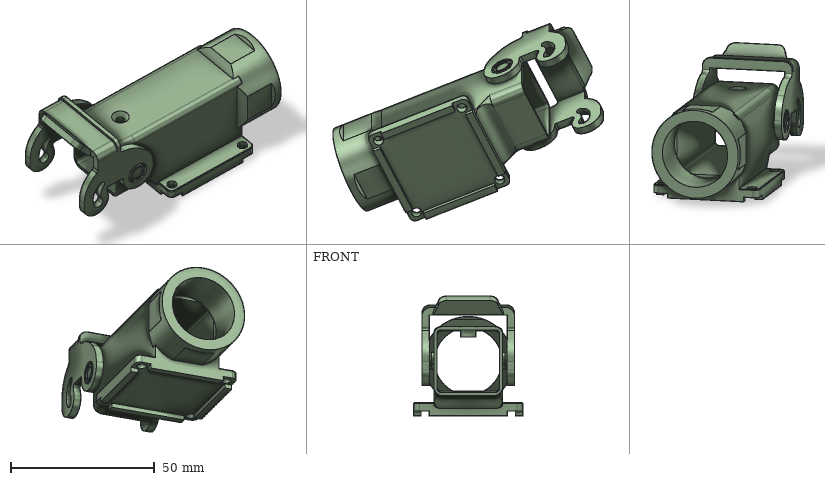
import cadquery as cq
import math

AXIS_Z = 19.0

BODY_WIDTH = 24.0
BODY_REAR_Y = 19.0
BODY_FRONT_Y = -37.0
BODY_TOP_FILLET = 2.3
BODY_BOTTOM_FILLET = 3.2
NOSE_START_Y = -29.2
NOSE_TOP_FILLET = 2.9
SNOUT_REAR_Y = -24.8
HEEL_SAGITTA = 1.0
HEEL_CORNER_HEIGHT = 1.0
HEEL_Z = 2.6

COLLAR_RADIUS = 15.55
COLLAR_REAR_Y = 33.6
COLLAR_BORE_RADIUS = 11.7
RIM_FRONT_Y = 31.0
FLAT_HALF_WIDTH = 14.55
FLAT_FRONT_Y = 19.2

CAVITY_WIDTH = 21.7
CAVITY_END_WIDTH = 21.6
CAVITY_END_HEIGHT = 20.9
CAVITY_REAR_Y = 17.0
CAVITY_FILLET = 1.3

PLATE_SIZE = 38.0
PLATE_TOP_Z = 4.55
PLATE_CORNER_RADIUS = 2.0
PLATE_EDGE_CHAMFER = 0.3
FOOT_HEIGHT = 1.6
FOOT_THICKNESS = 2.6
FOOT_LENGTH = 27.2
MOUNT_HOLE_OFFSET = 15.9
MOUNT_HOLE_DIAMETER = 3.5

SCREW_Y = -26.0
SCREW_HOLE_DIAMETER = 3.1
SCREW_SINK_DIAMETER = 6.1
SCREW_SINK_ANGLE = 90
SCREW_BOSS_DIAMETER = 5.3
SCREW_BOSS_BOTTOM_Z = 27.4

PIVOT_Y = -31.4
PIVOT_Z = 19.1
PIVOT_BASE_DIAMETER = 6.2
PIVOT_NECK_DIAMETER = 5.6
PIVOT_GROOVE_OUTER = 7.95
PIVOT_GROOVE_INNER = 6.3
PIVOT_GROOVE_DEPTH = 0.8
PIVOT_DIMPLE_DIAMETER = 4.9
PIVOT_DIMPLE_DEPTH = 0.5

ARM_INNER_X = 13.5
ARM_OUTER_X = 16.1
BRIDGE_UNDER_Z = 35.05
BRIDGE_TOP_Z = 37.7
BRIDGE_FILLET = 3.0
BRIDGE_FRONT_Y = -49.35
RIB_FRONT_Y = -40.75
RIB_REAR_Y = -39.15
RIB_TOP_Z = 38.55
RIB_FILLET = 2.75

TAB_TOP_Z = 41.69
TAB_THICKNESS = 2.4
TAB_ANGLE = 48.5
TAB_ROOT_HALF_WIDTH = 12.2
TAB_HALF_WIDTH = 10.5
TAB_CORNER_RADIUS = 3.0
TAB_ROOT_START = (TAB_ROOT_HALF_WIDTH, -1.2)
TAB_ROOT_MID = (11.5, 0.2)
TAB_ROOT_END = (11.0, 1.5)

ARM_FRONT_Y = -55.58
ARM_LOBE_RADIUS = 5.53
ARM_LOBE_Z = 16.0
ARM_OVERLAP = 0.5

RIB_FOOT = (RIB_REAR_Y, 34.4)
SHOULDER_MID = (-38.5, 33.4)
SHOULDER_END = (-37.3, 33.1)
BACK_MID = (-32.8, 31.7)
BACK_END = (-28.75, 28.7)
EYE_UPPER_MID = (-25.3, 24.3)
EYE_REAR = (-24.5, 20.5)
EYE_BOTTOM = (-31.3, 12.6)
EYE_FRONT = (-37.6, 16.9)
NOTCH_TOP_Z = 20.5
NOTCH_REAR_LOW = (-38.0, 19.4)
NOTCH_REAR_MID = (-38.15, 20.2)
NOTCH_REAR_TOP = (-38.6, NOTCH_TOP_Z)
NOTCH_FRONT_TOP = (-44.75, NOTCH_TOP_Z)
NOTCH_FRONT_MID = (-45.2, 20.1)
NOTCH_FRONT_LOW = (-45.35, 19.5)
HOOK_OUTER_LOW = (ARM_FRONT_Y, 18.9)
HOOK_OUTER_TOP = (-49.9, 29.65)
NECK_FRONT = (BRIDGE_FRONT_Y, 30.5)

SLOT_TOP_FRONT = (-48.3, 23.9)
SLOT_OUTER_MID = (-51.0, 20.7)
SLOT_OUTER_LOW = (-51.5, 17.5)
SLOT_PASS_MID = (-51.3, 16.0)
SLOT_PASS_LOW = (-50.7, 14.7)
SLOT_BOTTOM = (-49.0, 13.45)
SLOT_INNER_LOW = (-47.4, 16.2)
SLOT_WAIST = (-48.0, 17.3)
SLOT_INNER_MID = (-47.9, 20.0)
SLOT_TOP_REAR = (-46.7, 22.1)
SLOT_TOP_MID = (-46.7, 23.7)

BODY_HALF = BODY_WIDTH / 2
BODY_TOP_Z = AXIS_Z + BODY_HALF
BODY_BOTTOM_Z = AXIS_Z - BODY_HALF
ARM_THICKNESS = ARM_OUTER_X - ARM_INNER_X


def box_between(x, y, z):
    """Box spanning the given (low, high) pairs."""
    size = [high - low for low, high in (x, y, z)]
    return cq.Workplane("XY").box(*size, centered=False).translate((x[0], y[0], z[0]))


def axis_plane(y):
    """XZ plane at the given Y, centred on the housing axis, facing the front (-Y)."""
    return cq.Workplane("XZ", origin=(0, y, AXIS_Z))


def body_section(plane, top_radius):
    """Square housing section with separate top and bottom corner radii."""
    h = BODY_HALF
    top = h - top_radius
    bottom = h - BODY_BOTTOM_FILLET
    return (
        plane.moveTo(-top, h)
        .lineTo(top, h)
        .radiusArc((h, top), top_radius)
        .lineTo(h, -bottom)
        .radiusArc((bottom, -h), BODY_BOTTOM_FILLET)
        .lineTo(-bottom, -h)
        .radiusArc((-h, -bottom), BODY_BOTTOM_FILLET)
        .lineTo(-h, top)
        .radiusArc((-top, h), top_radius)
        .close()
    )


def heel_section(y, bottom_z, corner_height):
    """Wire across the heel at Y: square top corners, bottom corners rounded to the given height."""
    h = BODY_HALF
    flat = h - BODY_BOTTOM_FILLET
    arc_share = math.sqrt(0.5)
    arc_x = flat + BODY_BOTTOM_FILLET * arc_share
    arc_rise = corner_height * (1 - arc_share)
    top = BODY_TOP_Z - bottom_z
    return (
        cq.Workplane("XZ", origin=(0, y, bottom_z))
        .moveTo(-flat, 0)
        .lineTo(flat, 0)
        .threePointArc((arc_x, arc_rise), (h, corner_height))
        .lineTo(h, top)
        .lineTo(-h, top)
        .lineTo(-h, corner_height)
        .threePointArc((-arc_x, arc_rise), (-flat, 0))
        .close()
        .val()
    )


def make_trunk():
    """Part of the housing above the plate, with the curved heel at its front."""
    heel_y = -PLATE_SIZE / 2
    trunk = (
        cq.Workplane("YZ")
        .moveTo(BODY_REAR_Y, BODY_TOP_Z)
        .lineTo(SNOUT_REAR_Y, BODY_TOP_Z)
        .lineTo(SNOUT_REAR_Y, BODY_BOTTOM_Z)
        .sagittaArc((heel_y, HEEL_Z), HEEL_SAGITTA)
        .lineTo(BODY_REAR_Y, HEEL_Z)
        .close()
        .extrude(BODY_HALF, both=True)
    )
    front = heel_section(SNOUT_REAR_Y, BODY_BOTTOM_Z, BODY_BOTTOM_FILLET)
    back = heel_section(heel_y, HEEL_Z, HEEL_CORNER_HEIGHT)
    heel = cq.Workplane(cq.Solid.makeLoft([front, back], True))
    behind = box_between((-BODY_HALF, BODY_HALF), (heel_y, BODY_REAR_Y), (HEEL_Z, BODY_TOP_Z))
    trunk = trunk.intersect(heel.union(behind))
    return trunk.edges("|Y and >Z").fillet(BODY_TOP_FILLET)


def make_body():
    snout = body_section(axis_plane(SNOUT_REAR_Y), BODY_TOP_FILLET).extrude(SNOUT_REAR_Y - NOSE_START_Y)
    nose_start = body_section(axis_plane(NOSE_START_Y), BODY_TOP_FILLET)
    nose = body_section(
        nose_start.workplane(offset=NOSE_START_Y - BODY_FRONT_Y), NOSE_TOP_FILLET
    ).loft(ruled=True)
    return make_trunk().union(snout).union(nose)


def make_collar():
    """Round cable-entry collar with four flats and 45 degree ramps."""
    rim_drop = COLLAR_RADIUS - FLAT_HALF_WIDTH
    ramp_drop = FLAT_HALF_WIDTH - BODY_HALF
    flat_rear_y = RIM_FRONT_Y - rim_drop
    ramp_front_y = FLAT_FRONT_Y - ramp_drop
    collar = axis_plane(COLLAR_REAR_Y).circle(COLLAR_RADIUS).extrude(COLLAR_REAR_Y - ramp_front_y)
    half_outline = [
        (COLLAR_REAR_Y, COLLAR_RADIUS),
        (RIM_FRONT_Y, COLLAR_RADIUS),
        (flat_rear_y, FLAT_HALF_WIDTH),
        (FLAT_FRONT_Y, FLAT_HALF_WIDTH),
        (ramp_front_y, BODY_HALF),
    ]
    outline = half_outline + [(y, -r) for y, r in reversed(half_outline)]
    envelope = (
        cq.Workplane("YZ", origin=(0, 0, AXIS_Z)).polyline(outline).close().extrude(COLLAR_RADIUS, both=True)
    )
    turned = envelope.rotate((0, 0, AXIS_Z), (0, 1, AXIS_Z), 90)
    return collar.intersect(envelope).intersect(turned)


def make_plate():
    plate = (
        cq.Workplane("XY")
        .rect(PLATE_SIZE, PLATE_SIZE)
        .extrude(PLATE_TOP_Z)
        .edges("|Z")
        .fillet(PLATE_CORNER_RADIUS)
        .faces(">Z")
        .chamfer(PLATE_EDGE_CHAMFER)
    )
    relief = cq.Workplane("XY").rect(PLATE_SIZE, PLATE_SIZE).extrude(FOOT_HEIGHT)
    bar_centre = (PLATE_SIZE - FOOT_THICKNESS) / 2
    for sign in (-1, 1):
        side_bar = cq.Workplane("XY").center(sign * bar_centre, 0).rect(FOOT_THICKNESS, FOOT_LENGTH)
        end_bar = cq.Workplane("XY").center(0, sign * bar_centre).rect(FOOT_LENGTH, FOOT_THICKNESS)
        relief = relief.cut(side_bar.extrude(FOOT_HEIGHT)).cut(end_bar.extrude(FOOT_HEIGHT))
    return plate.cut(relief)


def mount_holes():
    spacing = 2 * MOUNT_HOLE_OFFSET
    return (
        cq.Workplane("XY")
        .rect(spacing, spacing, forConstruction=True)
        .vertices()
        .circle(MOUNT_HOLE_DIAMETER / 2)
        .extrude(PLATE_TOP_Z)
    )


def make_cavity():
    """Tapered square contact cavity meeting the round collar bore."""
    mouth = cq.Sketch().rect(CAVITY_WIDTH, CAVITY_WIDTH).vertices().fillet(CAVITY_FILLET)
    end = cq.Sketch().rect(CAVITY_END_WIDTH, CAVITY_END_HEIGHT).vertices().fillet(CAVITY_FILLET)
    depth = CAVITY_REAR_Y - BODY_FRONT_Y
    square = (
        axis_plane(BODY_FRONT_Y)
        .placeSketch(mouth, end.moved(cq.Location(cq.Vector(0, 0, -depth))))
        .loft()
    )
    bore = axis_plane(COLLAR_REAR_Y).circle(COLLAR_BORE_RADIUS).extrude(COLLAR_REAR_Y - CAVITY_REAR_Y)
    return square.union(bore)


def add_screw_seat(housing):
    """Boss hanging from the roof with a countersunk hole through it."""
    depth = BODY_TOP_Z - SCREW_BOSS_BOTTOM_Z
    boss = (
        cq.Workplane("XY", origin=(0, SCREW_Y, SCREW_BOSS_BOTTOM_Z))
        .circle(SCREW_BOSS_DIAMETER / 2)
        .extrude(depth)
    )
    return (
        housing.union(boss)
        .copyWorkplane(cq.Workplane("XY", origin=(0, SCREW_Y, BODY_TOP_Z)))
        .cskHole(SCREW_HOLE_DIAMETER, SCREW_SINK_DIAMETER, SCREW_SINK_ANGLE, depth)
    )


def arm_slot(plane):
    """Kidney-shaped latching slot, wider at its lower end."""
    return (
        plane.moveTo(*SLOT_TOP_FRONT)
        .threePointArc(SLOT_OUTER_MID, SLOT_OUTER_LOW)
        .threePointArc(SLOT_PASS_MID, SLOT_PASS_LOW)
        .threePointArc(SLOT_BOTTOM, SLOT_INNER_LOW)
        .lineTo(*SLOT_WAIST)
        .threePointArc(SLOT_INNER_MID, SLOT_TOP_REAR)
        .threePointArc(SLOT_TOP_MID, SLOT_TOP_FRONT)
        .close()
        .extrude(ARM_THICKNESS)
    )


def make_arm():
    """Latch side plate on the +X side."""
    plane = cq.Workplane("YZ", origin=(ARM_INNER_X, 0, 0))
    lobe_centre_y = ARM_FRONT_Y + ARM_LOBE_RADIUS
    top_z = BRIDGE_UNDER_Z - ARM_OVERLAP
    arm = (
        plane.moveTo(BRIDGE_FRONT_Y, top_z)
        .lineTo(RIB_REAR_Y, top_z)
        .lineTo(*RIB_FOOT)
        .threePointArc(SHOULDER_MID, SHOULDER_END)
        .threePointArc(BACK_MID, BACK_END)
        .threePointArc(EYE_UPPER_MID, EYE_REAR)
        .threePointArc(EYE_BOTTOM, EYE_FRONT)
        .lineTo(*NOTCH_REAR_LOW)
        .threePointArc(NOTCH_REAR_MID, NOTCH_REAR_TOP)
        .lineTo(*NOTCH_FRONT_TOP)
        .threePointArc(NOTCH_FRONT_MID, NOTCH_FRONT_LOW)
        .lineTo(lobe_centre_y + ARM_LOBE_RADIUS, ARM_LOBE_Z)
        .threePointArc((lobe_centre_y, ARM_LOBE_Z - ARM_LOBE_RADIUS), (ARM_FRONT_Y, ARM_LOBE_Z))
        .lineTo(*HOOK_OUTER_LOW)
        .tangentArcPoint(HOOK_OUTER_TOP, relative=False)
        .lineTo(*NECK_FRONT)
        .close()
        .extrude(ARM_THICKNESS)
    )
    return arm.cut(arm_slot(plane))


def make_pivot():
    """Pin on the +X side, conical then straight, joining the body wall to the arm."""
    half_gap = (ARM_INNER_X - BODY_HALF) / 2
    return (
        cq.Workplane("YZ", origin=(BODY_HALF, PIVOT_Y, PIVOT_Z))
        .circle(PIVOT_BASE_DIAMETER / 2)
        .workplane(offset=half_gap)
        .circle(PIVOT_NECK_DIAMETER / 2)
        .loft()
        .faces(">X")
        .workplane()
        .circle(PIVOT_NECK_DIAMETER / 2)
        .extrude(half_gap)
    )


def pivot_head_cuts():
    """Ring groove and central dimple in the outer face of the +X arm."""
    face = cq.Workplane("YZ", origin=(ARM_OUTER_X, PIVOT_Y, PIVOT_Z))
    groove = face.circle(PIVOT_GROOVE_OUTER / 2).circle(PIVOT_GROOVE_INNER / 2).extrude(-PIVOT_GROOVE_DEPTH)
    dimple = face.circle(PIVOT_DIMPLE_DIAMETER / 2).extrude(-PIVOT_DIMPLE_DEPTH)
    return groove.union(dimple)


def bridge_bar(y_range, top_z, fillet):
    """Bar across the two arms with rounded outer corners."""
    bottom_z = min(top_z - fillet, BRIDGE_UNDER_Z) - ARM_OVERLAP
    bar = box_between((-ARM_OUTER_X, ARM_OUTER_X), y_range, (bottom_z, top_z))
    bar = bar.edges("|Y and >Z").fillet(fillet)
    opening = box_between((-ARM_INNER_X, ARM_INNER_X), y_range, (bottom_z, BRIDGE_UNDER_Z))
    return bar.cut(opening)


def make_tab():
    """Finger tab bent upward from the front edge of the bridge."""
    rise = math.radians(TAB_ANGLE)
    tip_run = TAB_THICKNESS * math.sin(rise)
    tip_drop = TAB_THICKNESS * math.cos(rise)
    upper_run = (TAB_TOP_Z - BRIDGE_TOP_Z) / math.tan(rise)
    upper_tip_y = BRIDGE_FRONT_Y - upper_run
    tip_y = upper_tip_y - tip_run
    bend_y = BRIDGE_FRONT_Y - TAB_THICKNESS * math.tan(rise / 2)
    lower_bend_z = TAB_TOP_Z - tip_drop - (bend_y - tip_y) * math.tan(rise)
    bent_strip = (
        cq.Workplane("YZ")
        .polyline(
            [
                (BRIDGE_FRONT_Y, BRIDGE_TOP_Z),
                (upper_tip_y, TAB_TOP_Z),
                (tip_y, TAB_TOP_Z - tip_drop),
                (bend_y, lower_bend_z),
                (BRIDGE_FRONT_Y, BRIDGE_UNDER_Z),
            ]
        )
        .close()
        .extrude(TAB_ROOT_HALF_WIDTH, both=True)
    )
    return bent_strip.intersect(tab_outline(upper_run / math.cos(rise)))


def tab_outline(length):
    """Prism square to the tab face; local Y runs up the tab from the bend."""
    tab_plane = cq.Plane(origin=(0, BRIDGE_FRONT_Y, BRIDGE_TOP_Z), xDir=(1, 0, 0), normal=(0, 0, 1))
    tab_plane = tab_plane.rotated((180 - TAB_ANGLE, 0, 0))
    half_outline = (
        cq.Workplane(tab_plane)
        .moveTo(0, -TAB_THICKNESS)
        .lineTo(TAB_ROOT_HALF_WIDTH, -TAB_THICKNESS)
        .lineTo(*TAB_ROOT_START)
        .threePointArc(TAB_ROOT_MID, TAB_ROOT_END)
        .lineTo(TAB_HALF_WIDTH, length - TAB_CORNER_RADIUS)
        .radiusArc((TAB_HALF_WIDTH - TAB_CORNER_RADIUS, length), -TAB_CORNER_RADIUS)
        .lineTo(0, length)
        .close()
    )
    half = half_outline.extrude(2 * TAB_THICKNESS, both=True)
    return half.union(half.mirror("YZ"))


def make_latch():
    side = make_arm().union(make_pivot()).cut(pivot_head_cuts())
    bridge = bridge_bar((BRIDGE_FRONT_Y, RIB_FRONT_Y), BRIDGE_TOP_Z, BRIDGE_FILLET)
    rib = bridge_bar((RIB_FRONT_Y, RIB_REAR_Y), RIB_TOP_Z, RIB_FILLET)
    return side.union(side.mirror("YZ")).union(bridge).union(rib).union(make_tab())


housing = make_body().union(make_collar()).union(make_plate())
housing = housing.cut(mount_holes()).cut(make_cavity())
housing = add_screw_seat(housing)
result = housing.union(make_latch())